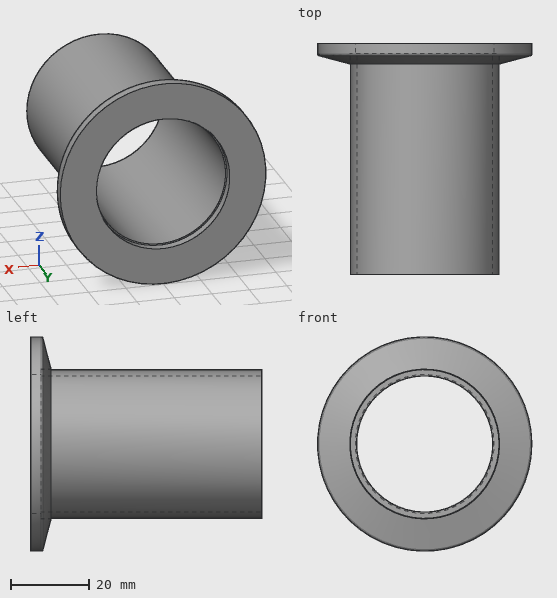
import cadquery as cq

total_length = 59.2
tube_outer_diameter = 38.1
tube_inner_diameter = 34.8

flange_diameter = 54.9
socket_diameter = 38.4
socket_depth = 2.65
flange_bore_diameter = 35.6
flange_thickness = 5.3
rim_thickness = 3.1
rim_round_radius = 0.5

tube_outer_radius = tube_outer_diameter / 2
tube_inner_radius = tube_inner_diameter / 2
flange_radius = flange_diameter / 2
socket_radius = socket_diameter / 2
flange_bore_radius = flange_bore_diameter / 2

seal_face_y = total_length / 2
tube_end_y = -total_length / 2
rim_back_y = seal_face_y - rim_thickness
flange_back_y = seal_face_y - flange_thickness
socket_floor_y = flange_back_y + socket_depth


def revolve_about_y(profile):
    """Turn a closed XY profile into a solid of revolution about the Y axis."""
    return profile.close().revolve(360, (0, 0, 0), (0, 1, 0))


def make_flange():
    """Clamp flange: straight rim, rounded rim edge, conical back and a stepped bore for the tube."""
    profile = (
        cq.Workplane("XY")
        .moveTo(flange_bore_radius, seal_face_y)
        .lineTo(flange_radius, seal_face_y)
        .lineTo(flange_radius, rim_back_y)
        .lineTo(socket_radius, flange_back_y)
        .lineTo(socket_radius, socket_floor_y)
        .lineTo(flange_bore_radius, socket_floor_y)
    )
    rim_edge = cq.selectors.NearestToPointSelector((0, rim_back_y, 0))
    return revolve_about_y(profile).edges(rim_edge).fillet(rim_round_radius)


def make_tube():
    """Plain tube that sits in the flange socket, with its end against the socket floor."""
    profile = (
        cq.Workplane("XY")
        .moveTo(tube_inner_radius, tube_end_y)
        .lineTo(tube_outer_radius, tube_end_y)
        .lineTo(tube_outer_radius, socket_floor_y)
        .lineTo(tube_inner_radius, socket_floor_y)
    )
    return revolve_about_y(profile)


flange = make_flange()
tube = make_tube()

result = cq.Compound.makeCompound([flange.val(), tube.val()])